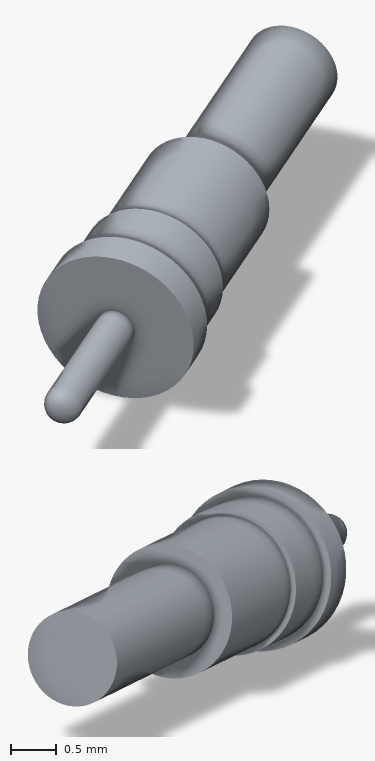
import cadquery as cq

pin_diameter = 0.43
flange_diameter = 1.83
collar_diameter = 1.63
body_diameter = 1.5
tail_diameter = 1.06

total_length = 7.04
pin_length = 1.75
flange_length = 0.4
collar_length = 0.725
body_length = 1.56
tail_length = total_length - pin_length - flange_length - collar_length - body_length

tip_radius = 0.2


def cylinder_along_y(diameter, length, start):
    """Solid cylinder on the Y axis, running from start towards +Y."""
    face_plane = cq.Workplane("XZ", origin=(0, start, 0))
    return face_plane.circle(diameter / 2).extrude(-length)


result = cylinder_along_y(pin_diameter, pin_length, -pin_length).faces("<Y").edges().fillet(tip_radius)

barrel_sections = [
    (flange_diameter, flange_length),
    (collar_diameter, collar_length),
    (body_diameter, body_length),
    (tail_diameter, tail_length),
]
section_start = 0
for diameter, length in barrel_sections:
    result = result.union(cylinder_along_y(diameter, length, section_start))
    section_start += length